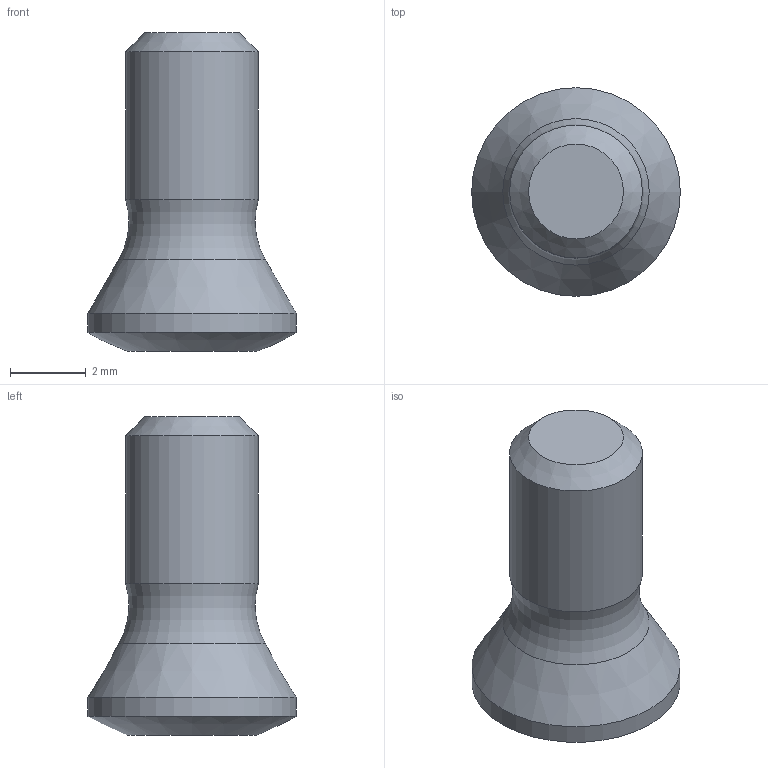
import cadquery as cq
import math

total_height = 8.4
head_radius = 5.5 / 2
shank_radius = 3.5 / 2
shank_length = 4.4
tip_chamfer = 0.5

crown_height = 0.5
crown_flat_radius = 1.7
crown_curve_radius = 5.2
rim_height = 0.5
cone_half_angle = math.radians(30)
neck_curve_radius = 2.0

rim_top = crown_height + rim_height
shank_bottom = total_height - shank_length


def neck_arc_points():
    """Return the (radius, z) start and middle of the neck arc.

    The concave arc is tangent to the head cone and ends at the shank's lower edge.
    """
    sin_a = math.sin(cone_half_angle)
    cos_a = math.cos(cone_half_angle)
    shank_dr = shank_radius - head_radius
    shank_dz = shank_bottom - rim_top
    edge_outward = shank_dr * cos_a + shank_dz * sin_a
    edge_along = shank_dz * cos_a - shank_dr * sin_a

    center_gap = neck_curve_radius - edge_outward
    tangent_along = edge_along - math.sqrt(neck_curve_radius**2 - center_gap**2)
    start_r = head_radius - tangent_along * sin_a
    start_z = rim_top + tangent_along * cos_a
    center_r = start_r + neck_curve_radius * cos_a
    center_z = start_z + neck_curve_radius * sin_a

    narrowest = (center_r - neck_curve_radius, center_z)
    return (start_r, start_z), narrowest


def crown_middle_point():
    """Return the (radius, z) middle of the convex crown arc."""
    run = head_radius - crown_flat_radius
    chord = math.hypot(run, crown_height)
    sagitta = crown_curve_radius - math.sqrt(crown_curve_radius**2 - (chord / 2) ** 2)
    middle_r = (head_radius + crown_flat_radius) / 2
    middle_z = crown_height / 2
    return (middle_r + sagitta * crown_height / chord, middle_z - sagitta * run / chord)


def make_screw():
    """Revolve the half profile around the Z axis."""
    neck_start, neck_narrowest = neck_arc_points()
    profile = (
        cq.Workplane("XZ")
        .moveTo(0, 0)
        .lineTo(crown_flat_radius, 0)
        .threePointArc(crown_middle_point(), (head_radius, crown_height))
        .lineTo(head_radius, rim_top)
        .lineTo(*neck_start)
        .threePointArc(neck_narrowest, (shank_radius, shank_bottom))
        .lineTo(shank_radius, total_height - tip_chamfer)
        .lineTo(shank_radius - tip_chamfer, total_height)
        .lineTo(0, total_height)
        .close()
    )
    return profile.revolve(360, (0, 0, 0), (0, 1, 0))


result = make_screw()